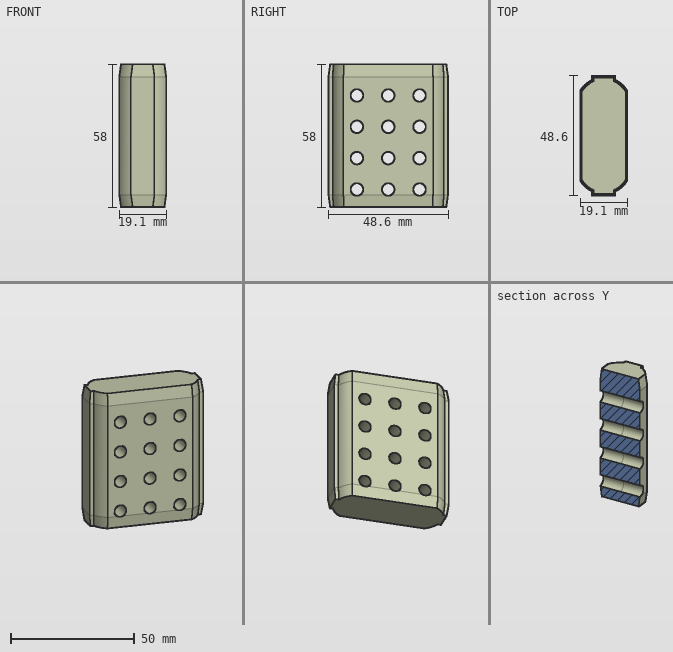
import cadquery as cq
import math

width = 19.1
depth = 48.55
height = 58.0

tab_width = 9.5
end_radius = 11.0
end_centre_y = 12.65

taper_height = 5.1
taper_inset = 0.7

hole_diameter = 5.0
hole_pitch = 12.7
hole_columns = 3
hole_rows = 4
lowest_hole_height = 7.2


def profile(z, inset):
    """Closed outline at height z, with every side moved inwards by inset."""
    side_x = width / 2 - inset
    tab_x = tab_width / 2 - inset
    tab_y = depth / 2 - inset
    radius = end_radius - inset

    def arc_y(x):
        return end_centre_y + math.sqrt(radius**2 - x**2)

    middle_x = (side_x + tab_x) / 2
    side = (side_x, arc_y(side_x))
    middle = (middle_x, arc_y(middle_x))
    tab = (tab_x, arc_y(tab_x))

    def mirrored(point, sign_x, sign_y):
        return (sign_x * point[0], sign_y * point[1])

    outline = cq.Workplane("XY", origin=(0, 0, z)).moveTo(*mirrored(side, 1, -1))
    for sign in (1, -1):
        outline = (
            outline.lineTo(*mirrored(side, sign, sign))
            .threePointArc(mirrored(middle, sign, sign), mirrored(tab, sign, sign))
            .lineTo(sign * tab_x, sign * tab_y)
            .lineTo(-sign * tab_x, sign * tab_y)
            .lineTo(*mirrored(tab, -sign, sign))
            .threePointArc(mirrored(middle, -sign, sign), mirrored(side, -sign, sign))
        )
    return outline.close()


def taper(full_z, end_z):
    """Lead-in from the full profile to the smaller end face."""
    wires = [profile(full_z, 0).val(), profile(end_z, taper_inset).val()]
    return cq.Workplane(obj=cq.Solid.makeLoft(wires, True))


top_z = height / 2
taper_start_z = top_z - taper_height
body = profile(-taper_start_z, 0).extrude(2 * taper_start_z)
body = body.union(taper(taper_start_z, top_z))
body = body.union(taper(-taper_start_z, -top_z))

grid_middle_z = -top_z + lowest_hole_height + hole_pitch * (hole_rows - 1) / 2
holes = (
    cq.Workplane("YZ", origin=(0, 0, grid_middle_z))
    .rarray(hole_pitch, hole_pitch, hole_columns, hole_rows)
    .circle(hole_diameter / 2)
    .extrude(width, both=True)
)

result = body.cut(holes)